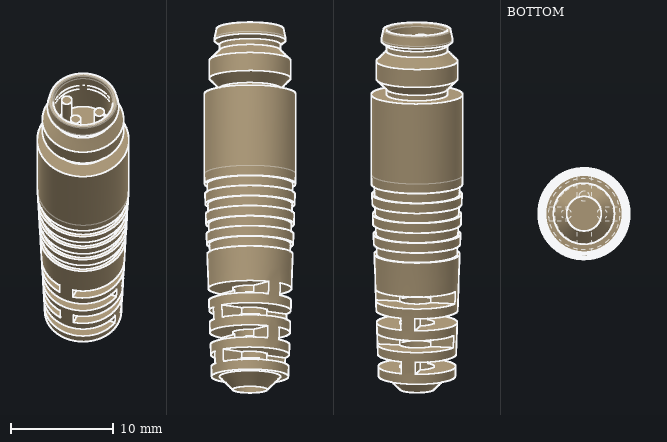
import cadquery as cq

total_height = 36.1

collar_diameter = 8.0
lip_diameter = 7.0
lip_top_diameter = 6.6
neck_diameter = 6.0
head_bottom = 29.55
neck_length = 0.55
collar_length = 1.8
collar_chamfer = (collar_diameter - neck_diameter) / 2
lip_taper_length = 0.97
lip_band_length = 0.25
lip_underside_length = 0.4
rim_fillet = 0.1

socket_diameter = 5.8
socket_mouth_diameter = 6.0
socket_mouth_depth = 0.35
socket_depth = 5.0

pin_diameter = 1.0
pin_offset = 1.75
pin_recess = 1.0
pin_places = [(-pin_offset, 0), (pin_offset, 0), (0, -pin_offset)]

sleeve_diameter = 9.0
sleeve_length = 8.0
sleeve_bottom = head_bottom - sleeve_length
grip_top_diameter = sleeve_diameter
grip_bottom_diameter = 7.55
cable_diameter = 3.4
tip_cone_diameter = 6.0
tip_cone_height = (tip_cone_diameter - cable_diameter) / 2
ridge_height = 1.0
groove_pitch = 2 * ridge_height
groove_depth = 0.25
groove_count = 4
slot_height = 1.2
slot_ring_height = 1.0
slot_count = 4
slot_web_width = 1.4


def revolve_profile(points):
    """Turn a closed (radius, height) outline about the Z axis."""
    return cq.Workplane("XZ").polyline(points).close().revolve(360, (0, 0), (0, 1))


def make_head():
    collar_bottom = head_bottom + neck_length + collar_chamfer
    collar_top = collar_bottom + collar_length
    lip_band_top = total_height - lip_taper_length
    lip_band_bottom = lip_band_top - lip_band_length
    socket_floor = total_height - socket_depth
    head = revolve_profile([
        (0, head_bottom),
        (neck_diameter / 2, head_bottom),
        (neck_diameter / 2, head_bottom + neck_length),
        (collar_diameter / 2, collar_bottom),
        (collar_diameter / 2, collar_top),
        (neck_diameter / 2, collar_top + collar_chamfer),
        (neck_diameter / 2, lip_band_bottom - lip_underside_length),
        (lip_diameter / 2, lip_band_bottom),
        (lip_diameter / 2, lip_band_top),
        (lip_top_diameter / 2, total_height),
        (socket_mouth_diameter / 2, total_height),
        (socket_diameter / 2, total_height - socket_mouth_depth),
        (socket_diameter / 2, socket_floor),
        (0, socket_floor),
    ])
    return head.faces(">Z").edges().fillet(rim_fillet)


def make_pins():
    """Three separate pins standing on the socket floor."""
    pin_length = socket_depth - pin_recess
    socket_floor = cq.Workplane("XY").workplane(offset=total_height - socket_depth)
    return [
        socket_floor.center(x, y).circle(pin_diameter / 2).extrude(pin_length)
        for x, y in pin_places
    ]


def grip_radius(z):
    """Outer radius of the tapered grip at height z."""
    fraction = (z - tip_cone_height) / (sleeve_bottom - tip_cone_height)
    return (grip_bottom_diameter + fraction * (grip_top_diameter - grip_bottom_diameter)) / 2


def make_grip_blank():
    """Solid sleeve on a hollow tapered grip whose end cone runs down to the cable bore."""
    return revolve_profile([
        (cable_diameter / 2, 0),
        (tip_cone_diameter / 2, tip_cone_height),
        (grip_bottom_diameter / 2, tip_cone_height),
        (grip_top_diameter / 2, sleeve_bottom),
        (sleeve_diameter / 2, head_bottom),
        (0, head_bottom),
        (0, sleeve_bottom),
        (cable_diameter / 2, sleeve_bottom),
    ])


def make_groove(top):
    """Ring that cuts one groove, its floor parallel to the grip taper."""
    bottom = top - ridge_height
    outside = sleeve_diameter
    return revolve_profile([
        (grip_radius(bottom) - groove_depth, bottom),
        (outside, bottom),
        (outside, top),
        (grip_radius(top) - groove_depth, top),
    ])


def make_slot(bottom, web_along_y):
    """Pair of cuts that leave two webs, lying along Y or along X."""
    side = sleeve_diameter
    side_offset = (slot_web_width + side) / 2
    places = [(-side_offset, 0), (side_offset, 0)]
    slot = (
        cq.Workplane("XY").workplane(offset=bottom)
        .pushPoints(places).rect(side, 2 * side).extrude(slot_height)
    )
    return slot if web_along_y else slot.rotate((0, 0, 0), (0, 0, 1), 90)


def make_grip():
    grip = make_grip_blank()
    for i in range(groove_count):
        grip = grip.cut(make_groove(sleeve_bottom - ridge_height - i * groove_pitch))
    first_slot_bottom = tip_cone_height + slot_ring_height
    for i in range(slot_count):
        slot_bottom = first_slot_bottom + i * (slot_height + slot_ring_height)
        grip = grip.cut(make_slot(slot_bottom, web_along_y=i % 2 == 1))
    return grip


head = make_head()
pins = make_pins()
grip = make_grip()

result = cq.Compound.makeCompound([head.val(), grip.val(), *[pin.val() for pin in pins]])